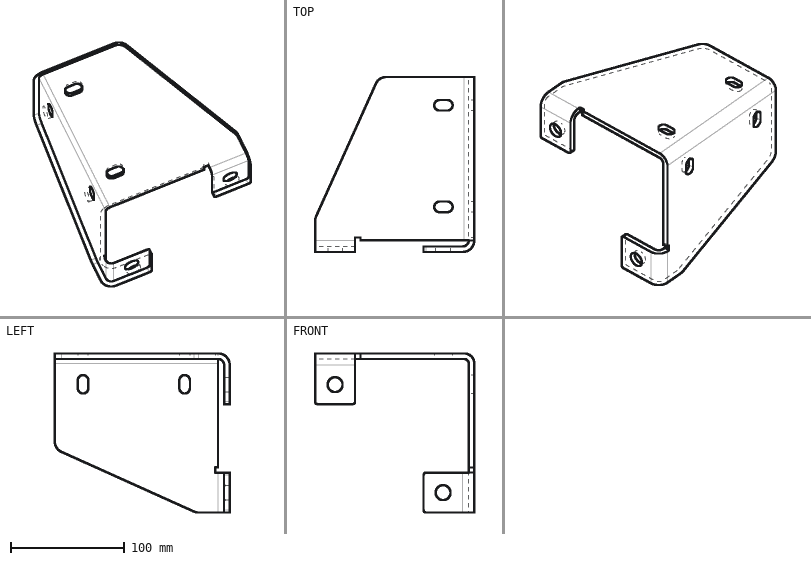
import cadquery as cq

width = 141.0
length = 155.0
thickness = 5.1

flange_bend_radius = 9.1
tab_bend_radius = 10.4

tab_width = 35.5
tab_drop = 45.1
tab_corner_radius = 2.3
tab_hole_diameter = 13.0

relief_width = 4.6
relief_depth = 2.3

taper_start = 29.8
taper_run = 56.4
taper_corner_radius = 10.0

slot_length = 16.1
slot_width = 9.1
slot_inset = 27.5
slot_end_offset = 25.1
slot_spacing = 89.9


def quarter_bend(plane, radius, depth):
    """Quarter ring about the plane origin, in its +x +y quadrant, extruded along its normal."""
    ring = cq.Workplane(plane).circle(radius).circle(radius - thickness).extrude(depth)
    quadrant = cq.Workplane(plane).rect(radius, radius, centered=False).extrude(depth)
    return ring.intersect(quadrant)


def flange_plate():
    """Flat tapered top flange with its relief notch and two slots."""
    plate = (
        cq.Workplane("XY")
        .moveTo(-flange_bend_radius, tab_bend_radius)
        .lineTo(-flange_bend_radius, length)
        .lineTo(-width + taper_run, length)
        .lineTo(-width, taper_start)
        .lineTo(-width, tab_bend_radius)
        .close()
        .extrude(-thickness)
    )
    for corner in [(-width + taper_run, length), (-width, taper_start)]:
        corner_edge = cq.selectors.NearestToPointSelector((*corner, -thickness / 2))
        plate = plate.edges("|Z").edges(corner_edge).fillet(taper_corner_radius)

    relief = (
        cq.Workplane("XY")
        .moveTo(-width + tab_width, tab_bend_radius)
        .rect(relief_width, relief_depth, centered=False)
        .extrude(-thickness)
    )
    far_slot_y = length - slot_end_offset
    slots = (
        cq.Workplane("XY")
        .pushPoints([(-slot_inset, far_slot_y), (-slot_inset, far_slot_y - slot_spacing)])
        .slot2D(slot_length, slot_width)
        .extrude(-thickness)
    )
    return plate.cut(relief).cut(slots)


def mounting_tab():
    """Tab bent down from the top flange, with a hole centered in its flat area."""
    flat_height = tab_drop - tab_bend_radius
    flat = (
        cq.Workplane("XY")
        .box(tab_width, thickness, flat_height, centered=False)
        .translate((-width, 0, -tab_drop))
        .edges("|Y and <Z")
        .fillet(tab_corner_radius)
        .faces("<Y")
        .workplane(centerOption="CenterOfBoundBox")
        .hole(tab_hole_diameter)
    )
    bend_plane = cq.Plane(
        origin=(-width, tab_bend_radius, -tab_bend_radius), xDir=(0, 0, 1), normal=(1, 0, 0)
    )
    return flat.union(quarter_bend(bend_plane, tab_bend_radius, tab_width))


def flange_bend():
    """Bend joining the two flanges along Y."""
    bend_plane = cq.Plane(
        origin=(-flange_bend_radius, tab_bend_radius, -flange_bend_radius),
        xDir=(0, 0, 1),
        normal=(0, 1, 0),
    )
    return quarter_bend(bend_plane, flange_bend_radius, length - tab_bend_radius)


top_flange = flange_plate().union(mounting_tab())
side_flange = top_flange.mirror(cq.Vector(1, 0, -1).normalized())
result = top_flange.union(flange_bend()).union(side_flange)